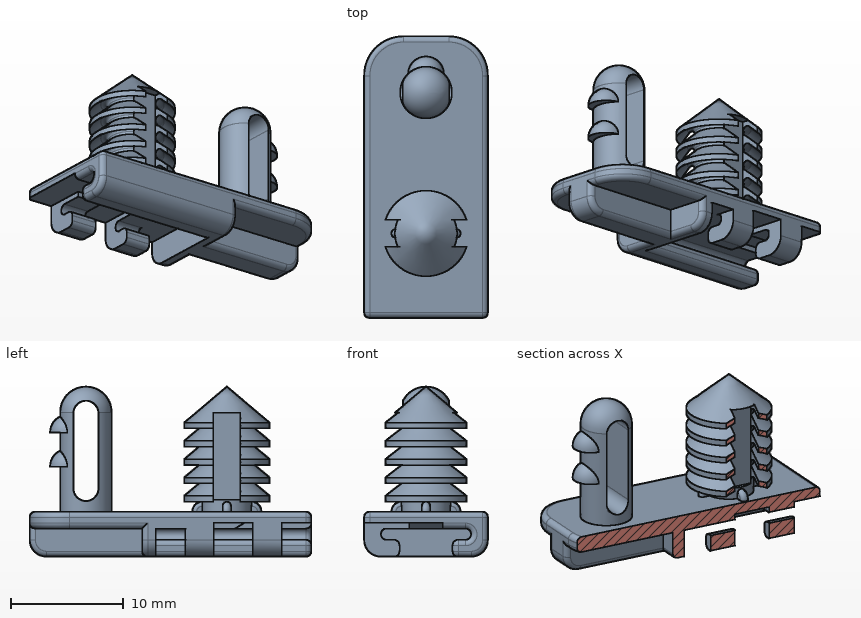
import cadquery as cq
import math

LENGTH = 25.0
WIDTH = 11.0
BASE_TOP = 4.0
PLATE_UNDERSIDE = 2.5
PLATE_CORNER_RADIUS = 3.5
EDGE_RADIUS = 0.5
BOTTOM_RADIUS = 1.5
FRONT = -LENGTH / 2
BACK = LENGTH / 2
HALF_WIDTH = WIDTH / 2

LIP_HALF_GAP = 2.35
LIP_HEIGHT = 1.5
GROOVE_HALF_WIDTH = 4.0
GROOVE_HEIGHT = PLATE_UNDERSIDE - LIP_HEIGHT
CHANNEL_END = 1.32
WALL_END = 2.52
KEEL_HALF_WIDTH = 1.5

RELIEF_TOP = 3.0
RELIEF_HALF_WIDTH = 1.5
RAMP_START_Y = -6.55
RAMP_END_Y = -5.72
HOOK_GAPS = [
    (FRONT, -9.88, RELIEF_TOP),
    (-7.28, -3.85, RELIEF_TOP),
    (-CHANNEL_END, CHANNEL_END, PLATE_UNDERSIDE),
]

TIP_Z = 15.1
FASTENER_Y = -5.0
NECK_RADIUS = 4.4 / 2
BARB_RADIUS = 3.8
BARB_COUNT = 5
BARB_PITCH = 1.62
BARB_RIM = 0.52
FIRST_BARB_Z = 4.88
TOP_RIM_Z = FIRST_BARB_Z + (BARB_COUNT - 1) * BARB_PITCH + BARB_RIM
CONE_SLOPE = (TIP_Z - TOP_RIM_Z) / BARB_RADIUS
BARB_ROOT_RADIUS = 0.38
FLUTE_WIDTH = 2.4
FLUTE_HALF_CORE = 1.8
FLUTE_BOTTOM = 5.05
FLUTE_TOP = 12.78
BEAD_RADIUS = 0.88
BEAD_WIDTH = 0.75

POST_Y = 7.5
POST_RADIUS = 4.6 / 2
SLOT_WIDTH = 2.2
SLOT_BOTTOM = 4.95
SLOT_TOP = 13.82
CATCH_RADIUS = 1.6
CATCH_Y = 9.1
CATCH_HEIGHTS = [7.98, 11.0]


def box(x0, x1, y0, y1, z0, z1):
    """Axis-aligned block between two opposite corners."""
    return cq.Workplane("XY").box(x1 - x0, y1 - y0, z1 - z0, centered=False).translate((x0, y0, z0))


def cylinder(radius, y, z0, z1):
    """Upright cylinder on the middle plane of the part."""
    return cq.Workplane("XY", origin=(0, y, z0)).circle(radius).extrude(z1 - z0)


def make_channel():
    """Undercut channel: a narrow opening below a wider, round-ended groove."""
    opening = box(-LIP_HALF_GAP, LIP_HALF_GAP, FRONT, CHANNEL_END, 0, PLATE_UNDERSIDE)
    groove = (
        cq.Workplane("XZ", origin=(0, FRONT, LIP_HEIGHT + GROOVE_HEIGHT / 2))
        .slot2D(2 * GROOVE_HALF_WIDTH, GROOVE_HEIGHT)
        .extrude(FRONT - CHANNEL_END)
    )
    return opening.union(groove)


def make_hook_block():
    """Front block with the channel cut into it; its rims and hook lips are rounded."""
    block = box(-HALF_WIDTH, HALF_WIDTH, FRONT, WALL_END, 0, BASE_TOP)
    block = block.edges("|Y and <Z").fillet(BOTTOM_RADIUS)
    block = block.cut(make_channel())

    margin = 0.02
    lip_zone = cq.selectors.BoxSelector(
        (-LIP_HALF_GAP - margin, FRONT, -margin),
        (LIP_HALF_GAP + margin, CHANNEL_END, LIP_HEIGHT + margin),
    )
    lip_edges = block.edges("|Y").edges(lip_zone)
    return block.edges("<Y or >Y or >Z").add(lip_edges).fillet(EDGE_RADIUS)


def make_rear_plate():
    """Plate behind the channel, with large rear corners and rounded rims."""
    plate = box(-HALF_WIDTH, HALF_WIDTH, CHANNEL_END, BACK, PLATE_UNDERSIDE, BASE_TOP)
    plate = plate.edges("|Z and >Y").fillet(PLATE_CORNER_RADIUS)
    return plate.faces("<Z or >Z").edges().fillet(EDGE_RADIUS)


def make_keel():
    """Central rib under the rear plate, reaching up into the plate."""
    keel = box(-KEEL_HALF_WIDTH, KEEL_HALF_WIDTH, CHANNEL_END, BACK, 0, BASE_TOP - EDGE_RADIUS)
    keel = keel.edges("|X and >Y and <Z").fillet(BOTTOM_RADIUS)
    return keel.faces("<X or >X").edges().fillet(EDGE_RADIUS)


def make_ceiling_relief():
    """Shallow slot in the channel ceiling that runs out on a ramp."""
    profile = [
        (FRONT, PLATE_UNDERSIDE),
        (FRONT, RELIEF_TOP),
        (RAMP_START_Y, RELIEF_TOP),
        (RAMP_END_Y, PLATE_UNDERSIDE),
    ]
    return cq.Workplane("YZ").polyline(profile).close().extrude(RELIEF_HALF_WIDTH, both=True)


def make_base():
    """Complete base, with the gaps that split the -X hook into teeth."""
    base = make_hook_block().union(make_rear_plate()).union(make_keel())
    for front_y, rear_y, top_z in HOOK_GAPS:
        base = base.cut(box(-HALF_WIDTH, -RELIEF_HALF_WIDTH, front_y, rear_y, 0, top_z))
    return base.cut(make_ceiling_relief())


def make_beads():
    """Four quarter-round beads around the foot of the fastener's neck."""
    tube_radius = BEAD_WIDTH / 2
    ring_radius = BEAD_RADIUS - tube_radius
    ring = cq.Workplane(cq.Solid.makeTorus(ring_radius, tube_radius, dir=cq.Vector(0, 1, 0)))
    disc = cq.Workplane("XZ").circle(ring_radius).extrude(tube_radius, both=True)
    quarter = box(0, BEAD_RADIUS, -BEAD_WIDTH, BEAD_WIDTH, 0, BEAD_RADIUS)
    bead = ring.union(disc).intersect(quarter).translate((NECK_RADIUS, 0, 0))

    root = box(NECK_RADIUS / 2, NECK_RADIUS, -tube_radius, tube_radius, 0, ring_radius)
    bead = bead.union(root)
    beads = bead
    for angle in (90, 180, 270):
        beads = beads.union(bead.rotate((0, 0, 0), (0, 0, 1), angle))
    return beads.translate((0, FASTENER_Y, BASE_TOP))


def make_fastener():
    """Fir-tree fastener: stacked conical barbs with a flute on each side."""
    rise = (BARB_RADIUS - NECK_RADIUS) * CONE_SLOPE
    cone_angle = math.atan(CONE_SLOPE)
    tangent_length = BARB_ROOT_RADIUS / math.tan((math.pi / 2 - cone_angle) / 2)

    profile = cq.Workplane("XZ").moveTo(0, RELIEF_TOP).lineTo(NECK_RADIUS, RELIEF_TOP)
    for index in range(BARB_COUNT):
        rim_bottom = FIRST_BARB_Z + index * BARB_PITCH
        rim_top = rim_bottom + BARB_RIM
        apex = rim_bottom + rise
        fillet_end = (
            NECK_RADIUS + tangent_length * math.cos(cone_angle),
            apex - tangent_length * math.sin(cone_angle),
        )
        profile = profile.lineTo(NECK_RADIUS, apex - tangent_length)
        profile = profile.tangentArcPoint(fillet_end, relative=False)
        profile = profile.lineTo(BARB_RADIUS, rim_bottom).lineTo(BARB_RADIUS, rim_top)
        if index < BARB_COUNT - 1:
            profile = profile.lineTo(NECK_RADIUS, rim_top + rise)
    fastener = profile.lineTo(0, TIP_Z).close().revolve(360, (0, 0), (0, 1))

    half_flute = FLUTE_WIDTH / 2
    flute = box(FLUTE_HALF_CORE, BARB_RADIUS, -half_flute, half_flute, FLUTE_BOTTOM, FLUTE_TOP)
    barb_gap = box(0, BARB_RADIUS, -half_flute, half_flute, FIRST_BARB_Z, FLUTE_BOTTOM)
    flute = flute.union(barb_gap.cut(cylinder(NECK_RADIUS, 0, BASE_TOP, FLUTE_TOP)))
    fastener = fastener.cut(flute).cut(flute.mirror("YZ"))
    return fastener.translate((0, FASTENER_Y, 0))


def make_post():
    """Domed post with a slot through it along X and two catches on its rear."""
    dome_z = TIP_Z - POST_RADIUS
    post = cylinder(POST_RADIUS, POST_Y, RELIEF_TOP, dome_z)
    post = post.union(cq.Workplane("XY", origin=(0, POST_Y, dome_z)).sphere(POST_RADIUS))

    for height in CATCH_HEIGHTS:
        catch = cq.Workplane("XY", origin=(0, CATCH_Y, height)).sphere(CATCH_RADIUS)
        upper_half = cylinder(CATCH_RADIUS, CATCH_Y, height, height + CATCH_RADIUS)
        post = post.union(catch.intersect(upper_half))

    slot = (
        cq.Workplane("YZ", origin=(0, POST_Y, (SLOT_BOTTOM + SLOT_TOP) / 2))
        .slot2D(SLOT_TOP - SLOT_BOTTOM, SLOT_WIDTH, 90)
        .extrude(POST_RADIUS, both=True)
    )
    return post.cut(slot)


result = make_base().union(make_fastener()).union(make_beads()).union(make_post())